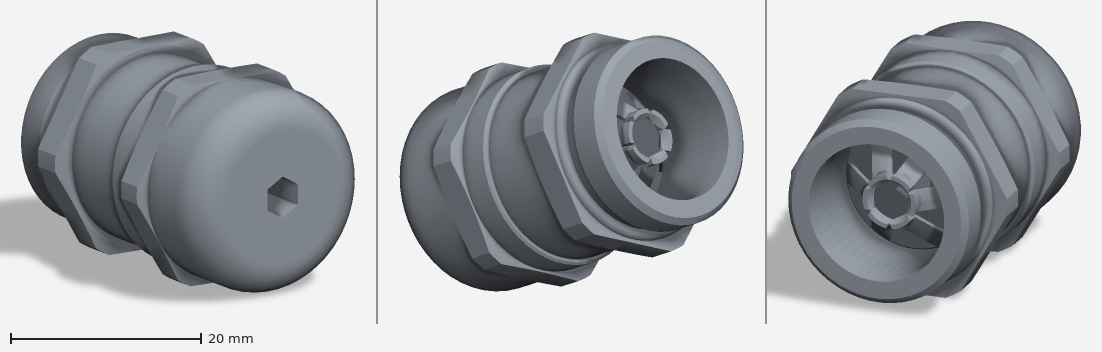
import cadquery as cq
import math


length = 34.0
thread_end = 4.65
flange_start = 5.88
body_nut_start = 6.55
body_nut_width = 3.47
body_nut_end = body_nut_start + body_nut_width
collar_start = 17.95
cap_nut_start = 21.55
cap_nut_width = 3.45
cap_nut_end = cap_nut_start + cap_nut_width

thread_radius = 10.2
groove_radius = 9.55
flange_radius = 10.6
collar_radius = 10.78
cap_radius = 10.98

thread_chamfer = thread_radius - groove_radius
flange_round = 0.68
collar_chamfer = 0.27
cap_round = 3.57

nut_flats = 22.0
nut_corner_diameter = 24.38
nut_chamfer_width = 0.3

bore_radius = 15.25 / 2
slot_floor_radius = 7.45
finger_count = 6
finger_width = 2.35
finger_slope = 1.25
finger_tip_x = 3.65
finger_tip_radius = 3.0
finger_nose_length = 1.35
funnel_radius = 5.0 / 2
funnel_depth = 0.68
throat_flats = 3.9

finger_cone_x = finger_tip_x + finger_nose_length
bore_end_x = finger_cone_x + finger_slope * (bore_radius - finger_tip_radius)
slot_floor_x = finger_cone_x + finger_slope * (slot_floor_radius - finger_tip_radius)
throat_x = finger_tip_x + funnel_depth
finger_root_radius = throat_flats / 2 + (slot_floor_x - throat_x) / finger_slope


def cylinder(start, end, radius):
    return cq.Workplane("YZ", origin=(start, 0, 0)).circle(radius).extrude(end - start)


def hexagon(start, end, flats):
    """Hexagonal prism along X with corners on the Y axis."""
    corner_diameter = flats / math.cos(math.pi / 6)
    return cq.Workplane("YZ", origin=(start, 0, 0)).polygon(6, corner_diameter).extrude(end - start)


def nut(start, end, chamfered_ends):
    """Hexagon nut with turned-down corners and a shallow cone on the chosen ends."""
    corner_radius = nut_corner_diameter / 2
    turned = cylinder(start, end, corner_radius)
    radial_chamfer = corner_radius - cap_radius
    for face in chamfered_ends:
        turned = turned.faces(face).chamfer(nut_chamfer_width, radial_chamfer)
    return hexagon(start, end, nut_flats).intersect(turned)


def revolved(outline):
    """Closed half profile in the XY plane, turned about X."""
    return outline.close().revolve(360, (0, 0, 0), (1, 0, 0))


def outer_body():
    """Turned outline of thread, groove, sealing flange, body, collar and domed cap."""
    outline = (
        cq.Workplane("XY")
        .moveTo(0, 0)
        .lineTo(0, groove_radius)
        .lineTo(thread_chamfer, thread_radius)
        .lineTo(thread_end - thread_chamfer, thread_radius)
        .lineTo(thread_end, groove_radius)
        .lineTo(flange_start, groove_radius)
        .lineTo(flange_start, flange_radius - flange_round)
        .radiusArc((flange_start + flange_round, flange_radius), flange_round)
        .lineTo(body_nut_end, flange_radius)
        .lineTo(body_nut_end, thread_radius)
        .lineTo(collar_start, thread_radius)
        .lineTo(collar_start, collar_radius - collar_chamfer)
        .lineTo(collar_start + collar_chamfer, collar_radius)
        .lineTo(cap_nut_end, collar_radius)
        .lineTo(cap_nut_end, cap_radius)
        .lineTo(length - cap_round, cap_radius)
        .radiusArc((length, cap_radius - cap_round), cap_round)
        .lineTo(length, 0)
    )
    return revolved(outline)


def bore():
    """Entry bore that leaves a cone with a cylindrical nose standing on its floor."""
    outline = (
        cq.Workplane("XY")
        .lineTo(0, bore_radius)
        .lineTo(bore_end_x, bore_radius)
        .lineTo(finger_cone_x, finger_tip_radius)
        .lineTo(finger_tip_x, finger_tip_radius)
        .lineTo(finger_tip_x, 0)
    )
    return revolved(outline)


def finger_cavity():
    """Lead-in funnel down to the throat, then a cone that flares to hollow out the fingers."""
    outline = (
        cq.Workplane("XY")
        .moveTo(finger_tip_x, 0)
        .lineTo(finger_tip_x, funnel_radius)
        .lineTo(throat_x, throat_flats / 2)
        .lineTo(slot_floor_x, finger_root_radius)
        .lineTo(slot_floor_x, 0)
    )
    return revolved(outline)


def finger_slots():
    """Space between the equal-width radial fingers, down to one flat floor."""
    depth = slot_floor_x - finger_tip_x
    bars = cq.Workplane("YZ", origin=(finger_tip_x, 0, 0))
    bars = bars.polarArray(bore_radius / 2, 0, 360, finger_count).rect(bore_radius, finger_width)
    return cylinder(finger_tip_x, slot_floor_x, bore_radius).cut(bars.extrude(depth))


def throat():
    """Hexagonal passage through to the cap end, with a flat facing every finger."""
    return hexagon(finger_tip_x, length, throat_flats).rotate((0, 0, 0), (1, 0, 0), 90)


result = outer_body()
result = result.union(nut(body_nut_start, body_nut_end, [">X"]))
result = result.union(nut(cap_nut_start, cap_nut_end, ["<X", ">X"]))
result = result.cut(bore())
result = result.cut(finger_slots())
result = result.cut(finger_cavity())
result = result.cut(throat())